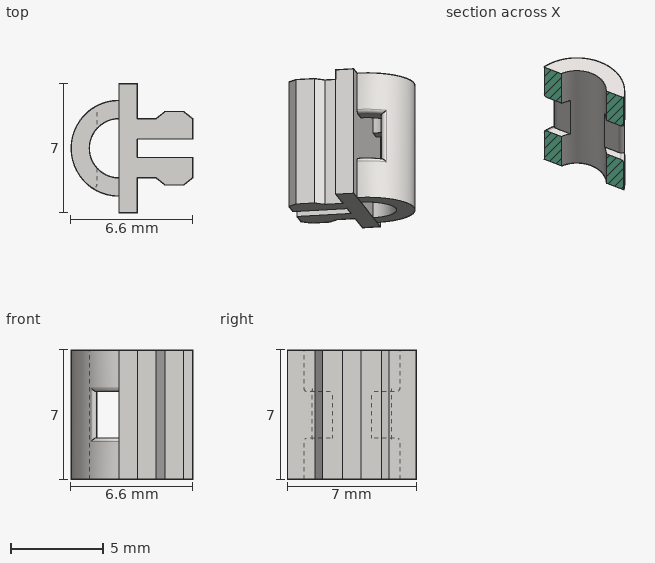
import cadquery as cq
import math

height = 7.0

sleeve_outer_radius = 2.6
sleeve_wall = 1.0
sleeve_inner_radius = sleeve_outer_radius - sleeve_wall

window_height = 2.5
window_depth = 1.2
window_edge_radius = 0.2

plate_width = 7.0
plate_thickness = 1.0
leg_tip_x = 4.0
leg_gap = 1.0
leg_thickness = 1.1
leg_inner_y = leg_gap / 2
leg_outer_y = leg_inner_y + leg_thickness

barb_height = 0.4
barb_slope_length = 0.5
barb_start_x = 2.0
barb_outer_y = leg_outer_y + barb_height


def make_sleeve():
    """Half tube with two opposite windows whose outer edges are rounded."""
    outer_diagonal = -sleeve_outer_radius / math.sqrt(2)
    inner_diagonal = -sleeve_inner_radius / math.sqrt(2)
    quarter_ring = (
        cq.Workplane("XY")
        .moveTo(-sleeve_inner_radius, 0)
        .lineTo(-sleeve_outer_radius, 0)
        .threePointArc((outer_diagonal, outer_diagonal), (0, -sleeve_outer_radius))
        .lineTo(0, -sleeve_inner_radius)
        .threePointArc((inner_diagonal, inner_diagonal), (-sleeve_inner_radius, 0))
        .close()
        .extrude(height)
    )
    window_block = cq.Workplane("XY").box(
        window_depth, 2 * sleeve_outer_radius, window_height
    ).translate((-window_depth / 2, 0, height / 2))
    quarter = quarter_ring.cut(window_block)

    wall_middle_radius = (sleeve_inner_radius + sleeve_outer_radius) / 2
    window_bottom = (height - window_height) / 2
    window_top = window_bottom + window_height
    rim_zone = cq.selectors.BoxSelector(
        (-sleeve_inner_radius, -sleeve_outer_radius, window_bottom - window_edge_radius),
        (-window_edge_radius, -wall_middle_radius, window_top + window_edge_radius),
    )
    quarter = quarter.edges(rim_zone).fillet(window_edge_radius)
    return quarter.union(quarter.mirror("XZ"))


def make_leg(side):
    """Snap leg on the +Y (side = 1) or -Y (side = -1) half of the plate."""
    return (
        cq.Workplane("XY")
        .polyline([
            (plate_thickness, side * leg_inner_y),
            (leg_tip_x, side * leg_inner_y),
            (leg_tip_x, side * leg_outer_y),
            (leg_tip_x - barb_slope_length, side * barb_outer_y),
            (barb_start_x + barb_slope_length, side * barb_outer_y),
            (barb_start_x, side * leg_outer_y),
            (plate_thickness, side * leg_outer_y),
        ])
        .close()
        .extrude(height)
    )


def make_clip():
    """Flat plate carrying the two snap legs."""
    clip = cq.Workplane("XY").box(
        plate_thickness, plate_width, height, centered=(False, True, False)
    )
    for side in (-1, 1):
        clip = clip.union(make_leg(side))
    return clip


sleeve = make_sleeve()
clip = make_clip()

result = cq.Compound.makeCompound([sleeve.val(), clip.val()])